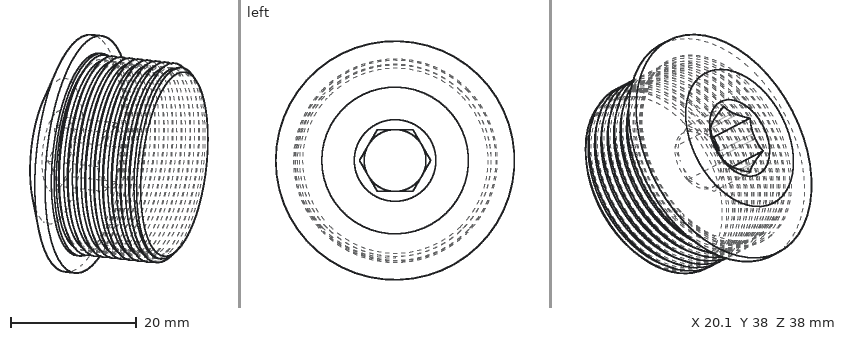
import cadquery as cq
import math

cone_end = 3.7
flange_end = 5.45
collar_end = 5.9
length = 20.1

flange_diameter = 38.0
face_diameter = 23.35
collar_diameter = 32.4

eight_turn_advance = 12.0
pitch = eight_turn_advance / 8
crest_radius = 16.0
root_radius = 15.25
ridge_half_angle = math.radians(30)
ridge_embed = 0.2
thread_start = collar_end - 0.3
thread_overrun = pitch / 2
tip_chamfer_radius = 14.75

hex_flats = 9.8
hex_depth = 9.12
bore_diameter = 9.85
bore_depth = 9.88
countersink_diameter = 13.0
countersink_depth = 1.2


def revolve_about_x(points):
    """Turn an (x, radius) outline about the X axis."""
    return cq.Workplane("XY").polyline(points).close().revolve(360, (0, 0, 0), (1, 0, 0))


def make_body():
    """Conical head, flange, collar and plain shank at the thread root, overlong at the tip."""
    return revolve_about_x([
        (0, 0),
        (0, face_diameter / 2),
        (cone_end, flange_diameter / 2),
        (flange_end, flange_diameter / 2),
        (flange_end, collar_diameter / 2),
        (collar_end, collar_diameter / 2),
        (collar_end, root_radius),
        (length + thread_overrun, root_radius),
        (length + thread_overrun, 0),
    ])


def make_thread():
    """Helical ridge that starts inside the collar and runs past the tip."""
    helix_length = length + thread_overrun - thread_start
    inner_radius = root_radius - ridge_embed
    half_base = (crest_radius - inner_radius) * math.tan(ridge_half_angle)
    helix = cq.Wire.makeHelix(pitch, helix_length, root_radius)
    return (
        cq.Workplane("XZ")
        .polyline([
            (inner_radius, -half_base),
            (crest_radius, 0),
            (inner_radius, half_base),
        ])
        .close()
        .sweep(cq.Workplane(helix), isFrenet=True)
        .rotate((0, 0, 0), (0, 1, 0), 90)
        .translate((thread_start, 0, 0))
    )


def make_envelope():
    """Outer limit of the part: it trims the shank and thread to a 45 degree chamfered tip."""
    head_radius = flange_diameter / 2
    chamfer_run = head_radius - tip_chamfer_radius
    return revolve_about_x([
        (0, 0),
        (0, head_radius),
        (length - chamfer_run, head_radius),
        (length, tip_chamfer_radius),
        (length, 0),
    ])


def make_socket():
    """Hexagon with corners on the Y axis, joined with its bore and countersink."""
    hex_corners = hex_flats / math.cos(math.pi / 6)
    hexagon = cq.Workplane("YZ").polygon(6, hex_corners).extrude(hex_depth)
    bore = cq.Workplane("YZ").circle(bore_diameter / 2).extrude(bore_depth)
    countersink = revolve_about_x([
        (0, 0),
        (0, countersink_diameter / 2),
        (countersink_depth, bore_diameter / 2),
        (countersink_depth, 0),
    ])
    return hexagon.union(bore).union(countersink)


result = make_body().union(make_thread()).intersect(make_envelope()).cut(make_socket())